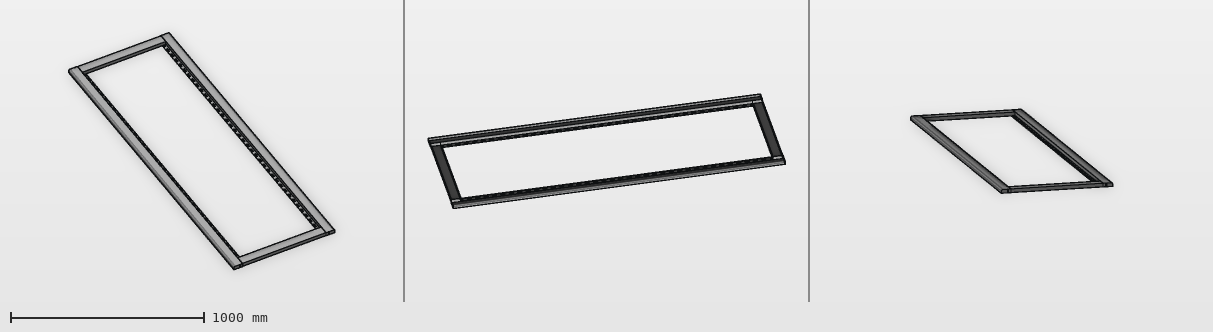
import cadquery as cq

length = 1755
width = 597
height = 21.0
sheet = 1.4
bend_radius = 2.0

rail_width = 53
rail_edge_radius = 9.0
flange_opening = 450.0

slit_width = 4.0
slit_setback = 18

unit_count = 37
unit_row_length = 1600.0
hole_size = 9.1
hole_offset = 15.0
hole_row_spacing = 465.0

bar_outer_span = 1751.0
bar_width = 53

rail_end = length / 2
rail_outer = width / 2
rail_inner = rail_outer - rail_width
flange_edge = flange_opening / 2
bar_outer = bar_outer_span / 2
bar_inner = bar_outer - bar_width
unit_pitch = unit_row_length / (unit_count - 1)
first_unit = -unit_row_length / 2


def block(x_start, x_end, y_start, y_end, z_top):
    """Box standing on the base plane between the given limits."""
    box = cq.Workplane("XY").box(x_end - x_start, y_end - y_start, z_top, centered=False)
    return box.translate((x_start, y_start, 0))


def rail_shell():
    """Long cover with a large outer rounding, small roundings elsewhere and a hollow underside."""
    cover = block(-rail_end, rail_end, rail_inner, rail_outer, height)
    cover = cover.edges("|X and >Y and >Z").fillet(rail_edge_radius)
    cover = cover.faces(">Z").edges("|Y or <Y").fillet(bend_radius)
    hollow = block(
        -rail_end + sheet, rail_end - sheet, rail_inner + sheet, rail_outer - sheet, height - sheet
    )
    hollow = hollow.edges("|X and >Y and >Z").fillet(rail_edge_radius - sheet)
    return cover.cut(hollow)


def end_slits():
    """Vertical relief slits through the folded ends of the rail."""
    return (
        cq.Workplane("XY")
        .pushPoints([(end * rail_end, rail_inner + slit_setback) for end in (-1, 1)])
        .rect(2 * bend_radius, slit_width)
        .extrude(height)
    )


def mounting_holes():
    """Square prisms for the mounting holes of one flange."""
    places = []
    for unit in range(unit_count):
        unit_middle = first_unit + unit * unit_pitch
        for offset in (-hole_offset, hole_offset):
            places.append((unit_middle + offset, hole_row_spacing / 2))
    return cq.Workplane("XY").pushPoints(places).rect(hole_size, hole_size).extrude(sheet)


def make_rail():
    """Rail on the +Y side, with its perforated flange along the opening."""
    flange = block(-bar_inner, bar_inner, flange_edge, rail_inner + sheet, sheet)
    return rail_shell().cut(end_slits()).union(flange).cut(mounting_holes())


def make_cross_bar():
    """Downward-open channel at the +X end, fitted between the rails."""
    bar = block(bar_inner, bar_outer, -rail_inner, rail_inner, height)
    bar = bar.edges("|Y and >Z").fillet(bend_radius)
    hollow = block(bar_inner + sheet, bar_outer - sheet, -rail_inner, rail_inner, height - sheet)
    return bar.cut(hollow)


rails = []
cross_bars = []
for turn in (0, 180):
    rails.append(make_rail().rotate((0, 0, 0), (0, 0, 1), turn))
    cross_bars.append(make_cross_bar().rotate((0, 0, 0), (0, 0, 1), turn))

result = cq.Compound.makeCompound([body.val() for body in rails + cross_bars])